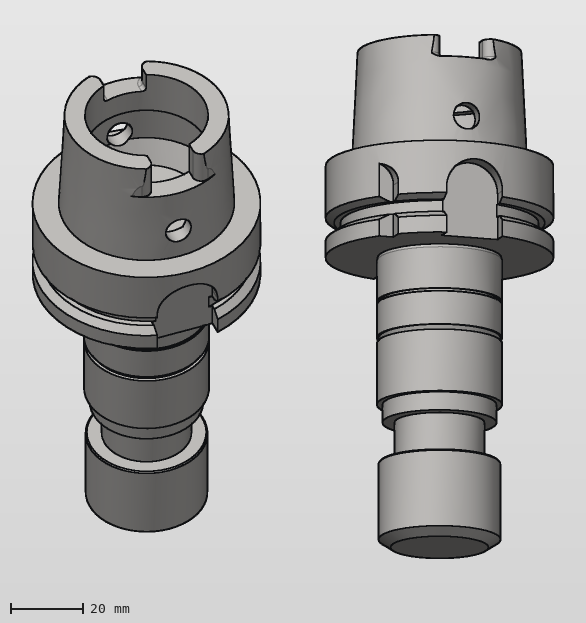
import cadquery as cq
import math


shank_height = 32.0
shank_base_dia = 48.54
shank_top_dia = 45.34

flange_dia = 62.94
flange_bottom_z = -26.0
groove_floor_dia = 54.7
groove_ledge_dia = 58.2
groove_upper_edge_z = -14.8
groove_upper_floor_z = -16.1
groove_lower_floor_z = -19.6
groove_lower_edge_z = -21.3

body_dia = 34.6
body_top_relief_dia = 34.2
body_top_relief_height = 0.8
upper_ring_dia = 33.7
upper_ring_top_z = -38.5
upper_ring_bottom_z = -39.3
lower_ring_top_dia = 33.7
lower_ring_bottom_dia = 32.5
lower_ring_top_z = -48.7
lower_ring_bottom_z = -50.2
body_bottom_z = -67.6

shoulder_dia = 31.5
shoulder_bottom_z = -72.7
neck_dia = 24.87
nut_dia = 33.7
nut_top_z = -84.0
nut_bottom_z = -108.0
nut_top_chamfer = 0.4
nut_bottom_dia = 27.0
nut_bottom_chamfer_height = 2.2

bore_dia = 34.0
bore_depth = 13.0
undercut_dia = 40.08
undercut_bottom_z = 6.3
bore_floor_dia = 31.5
bore_floor_z = 0.0

access_hole_dia = 7.5
access_hole_z = 9.0

drive_slot_width = 12.54
drive_slot_corner_radius = 2.5
drive_slot_corner_start_x = 18.5
drive_slot_flare_angle = 25.0
front_drive_slot_depth = 6.1
front_drive_slot_fillet = 1.2
back_drive_slot_depth = 9.9

keyway_floor_x = 26.2
keyway_top_z = -4.9
front_keyway_width = 16.2
back_keyway_width = 18.0

notch_center_y = 26.1
notch_width = 12.0
notch_top_z = -5.2
notch_floor_x = 20.0

clearance = 10.0
outer_reach = flange_dia / 2 + clearance


def revolve_profile(points):
    """Revolve a closed outline of (diameter, z) points about the Z axis."""
    outline = [(diameter / 2, z) for diameter, z in points]
    return cq.Workplane("XZ").polyline(outline).close().revolve(360, (0, 0, 0), (0, 1, 0))


def make_outer_body():
    return revolve_profile([
        (0, shank_height),
        (shank_top_dia, shank_height),
        (shank_base_dia, 0),
        (flange_dia, 0),
        (flange_dia, groove_upper_edge_z),
        (groove_ledge_dia, groove_upper_floor_z),
        (groove_floor_dia, groove_upper_floor_z),
        (groove_floor_dia, groove_lower_floor_z),
        (groove_ledge_dia, groove_lower_floor_z),
        (flange_dia, groove_lower_edge_z),
        (flange_dia, flange_bottom_z),
        (body_top_relief_dia, flange_bottom_z),
        (body_dia, flange_bottom_z - body_top_relief_height),
        (body_dia, upper_ring_top_z),
        (upper_ring_dia, upper_ring_top_z),
        (upper_ring_dia, upper_ring_bottom_z),
        (body_dia, upper_ring_bottom_z),
        (body_dia, lower_ring_top_z),
        (lower_ring_top_dia, lower_ring_top_z),
        (lower_ring_bottom_dia, lower_ring_bottom_z),
        (body_dia, lower_ring_bottom_z),
        (body_dia, body_bottom_z),
        (shoulder_dia, body_bottom_z),
        (shoulder_dia, shoulder_bottom_z),
        (neck_dia, shoulder_bottom_z),
        (neck_dia, nut_top_z),
        (nut_dia - 2 * nut_top_chamfer, nut_top_z),
        (nut_dia, nut_top_z - nut_top_chamfer),
        (nut_dia, nut_bottom_z + nut_bottom_chamfer_height),
        (nut_bottom_dia, nut_bottom_z),
        (0, nut_bottom_z),
    ])


def make_bore():
    return revolve_profile([
        (0, shank_height),
        (bore_dia, shank_height),
        (bore_dia, shank_height - bore_depth),
        (undercut_dia, shank_height - bore_depth),
        (undercut_dia, undercut_bottom_z),
        (bore_floor_dia, bore_floor_z),
        (0, bore_floor_z),
    ])


def make_access_hole():
    return (
        cq.Workplane("YZ", origin=(-outer_reach, 0, 0))
        .center(0, access_hole_z)
        .circle(access_hole_dia / 2)
        .extrude(2 * outer_reach)
    )


def make_half_drive_slot(depth):
    """Half of the slot at the +X side of the rim, from its middle plane to its +Y wall.

    The wall turns outwards round a corner and runs on as a straight flare
    that shaves the outside of the shank.
    """
    half_width = drive_slot_width / 2
    angle = math.radians(drive_slot_flare_angle)
    corner_center_y = half_width + drive_slot_corner_radius
    flare_start = (
        drive_slot_corner_start_x + drive_slot_corner_radius * math.cos(angle),
        corner_center_y + drive_slot_corner_radius * math.sin(angle),
    )
    flare_end = (
        flare_start[0] - clearance * math.sin(angle),
        flare_start[1] + clearance * math.cos(angle),
    )
    return (
        cq.Workplane("XY", origin=(0, 0, shank_height - depth))
        .lineTo(outer_reach, 0)
        .lineTo(outer_reach, flare_end[1])
        .lineTo(*flare_end)
        .lineTo(*flare_start)
        .radiusArc((drive_slot_corner_start_x, half_width), drive_slot_corner_radius)
        .lineTo(0, half_width)
        .close()
        .extrude(depth + clearance)
    )


def make_drive_slot(depth):
    half_slot = make_half_drive_slot(depth)
    return half_slot.union(half_slot.mirror("XZ")).clean()


def make_front_drive_slot():
    slot = make_drive_slot(front_drive_slot_depth)
    slot = slot.faces("<Z").edges().fillet(front_drive_slot_fillet)
    return slot.rotate((0, 0, 0), (0, 0, 1), 180)


def make_arched_cut(center_y, width, top_z, floor_x):
    """Round-topped cut from the -X side to the plane X = -floor_x, open at the flange bottom."""
    radius = width / 2
    arch_base_z = top_z - radius
    return (
        cq.Workplane("YZ", origin=(-outer_reach, 0, 0))
        .moveTo(center_y - radius, flange_bottom_z)
        .lineTo(center_y - radius, arch_base_z)
        .threePointArc((center_y, top_z), (center_y + radius, arch_base_z))
        .lineTo(center_y + radius, flange_bottom_z)
        .close()
        .extrude(outer_reach - floor_x)
    )


def make_back_keyway():
    keyway = make_arched_cut(0, back_keyway_width, keyway_top_z, keyway_floor_x)
    return keyway.rotate((0, 0, 0), (0, 0, 1), 180)


result = (
    make_outer_body()
    .cut(make_bore())
    .cut(make_access_hole())
    .cut(make_front_drive_slot())
    .cut(make_drive_slot(back_drive_slot_depth))
    .cut(make_arched_cut(0, front_keyway_width, keyway_top_z, keyway_floor_x))
    .cut(make_back_keyway())
    .cut(make_arched_cut(notch_center_y, notch_width, notch_top_z, notch_floor_x))
)